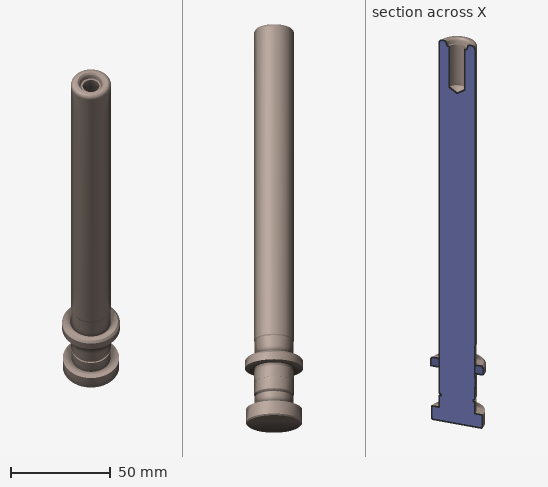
import cadquery as cq
import math

pin_length = 209.0
shaft_radius = 10.0
relief_depth = 0.25
neck_radius = shaft_radius - relief_depth
tip_round = 2.0

head_radius = 14.1
head_height = 7.5
head_chamfer = 0.6
fit_bottom = 14.5
fit_chamfer_height = 1.0
lead_top = 21.7
lead_clearance = 0.06

groove_depth = 0.8
groove_bottom = 14.0

relief_bottom = 27.4
relief_top = 44.3
relief_taper = 0.6

collar_radius = 14.53
collar_bottom = 29.3
collar_top = 34.3
collar_chamfer = 1.0
bore_chamfer = 0.8

mouth_radius = 6.7
mouth_chamfer = 0.8
countersink_bottom_radius = 5.2
countersink_depth = 2.7
hole_radius = 4.2
hole_depth = 25.0
drill_point_angle = 118.0


def revolve_profile(profile):
    """Turn a closed (radius, height) outline about the Z axis."""
    return profile.close().revolve(360, (0, 0, 0), (0, 1, 0))


def make_pin_blank():
    """Solid pin: chamfered head, neck, groove, fitted length, relief and rounded tip."""
    lead_radius = shaft_radius - lead_clearance
    groove_radius = neck_radius - groove_depth
    round_offset = tip_round * math.sqrt(0.5)
    round_start = pin_length - tip_round
    tip_radius = shaft_radius - tip_round
    profile = (
        cq.Workplane("XZ")
        .lineTo(head_radius - head_chamfer, 0)
        .lineTo(head_radius, head_chamfer)
        .lineTo(head_radius, head_height)
        .lineTo(neck_radius, head_height)
        .lineTo(neck_radius, groove_bottom)
        .lineTo(groove_radius, groove_bottom)
        .lineTo(groove_radius, fit_bottom)
        .lineTo(lead_radius, fit_bottom + fit_chamfer_height)
        .lineTo(lead_radius, lead_top)
        .lineTo(shaft_radius, lead_top)
        .lineTo(shaft_radius, relief_bottom)
        .lineTo(neck_radius, relief_bottom + relief_taper)
        .lineTo(neck_radius, relief_top - relief_taper)
        .lineTo(shaft_radius, relief_top)
        .lineTo(shaft_radius, round_start)
        .threePointArc((tip_radius + round_offset, round_start + round_offset), (tip_radius, pin_length))
        .lineTo(0, pin_length)
    )
    return revolve_profile(profile)


def make_tip_hole():
    """Blind drilled hole with a chamfered mouth, a steep countersink and a flat step."""
    point_height = hole_radius / math.tan(math.radians(drill_point_angle / 2))
    hole_floor = pin_length - hole_depth
    countersink_bottom = pin_length - countersink_depth
    profile = (
        cq.Workplane("XZ")
        .moveTo(0, pin_length)
        .lineTo(mouth_radius, pin_length)
        .lineTo(mouth_radius - mouth_chamfer, pin_length - mouth_chamfer)
        .lineTo(countersink_bottom_radius, countersink_bottom)
        .lineTo(hole_radius, countersink_bottom)
        .lineTo(hole_radius, hole_floor)
        .lineTo(0, hole_floor - point_height)
    )
    return revolve_profile(profile)


def make_collar():
    """Ring seated on the relief, chamfered on its upper outer and inner edges."""
    profile = (
        cq.Workplane("XZ")
        .moveTo(neck_radius, collar_bottom)
        .lineTo(collar_radius, collar_bottom)
        .lineTo(collar_radius, collar_top - collar_chamfer)
        .lineTo(collar_radius - collar_chamfer, collar_top)
        .lineTo(neck_radius + bore_chamfer, collar_top)
        .lineTo(neck_radius, collar_top - bore_chamfer)
    )
    return revolve_profile(profile)


pin = make_pin_blank().cut(make_tip_hole())
collar = make_collar()
result = cq.Compound.makeCompound([pin.val(), collar.val()])